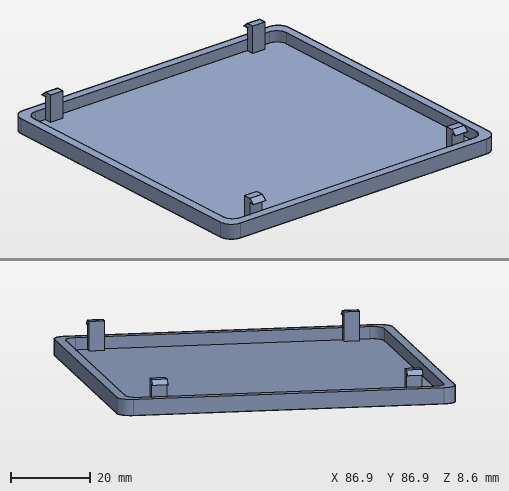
import cadquery as cq

side = 86.9
rim_height = 4.2
wall = 2.5
floor_thickness = 1.0
outer_radius = 3.6
inner_radius = 3.0

total_height = 8.6
clip_width = 4.0
clip_thickness = 2.2
clip_offset_y = 32.8
hook_reach = 1.5
hook_height = 1.2


def rounded_square(size, radius, height, base_z):
    """Square block with rounded vertical corners, centred on the Z axis."""
    block = cq.Workplane("XY").workplane(offset=base_z).rect(size, size).extrude(height)
    return block.edges("|Z").fillet(radius)


def make_tray():
    """Open tray with a flat floor and an upright rim."""
    body = rounded_square(side, outer_radius, rim_height, 0)
    cavity = rounded_square(
        side - 2 * wall, inner_radius, rim_height - floor_thickness, floor_thickness
    )
    return body.cut(cavity)


def make_clip(direction, center_y):
    """Post rising from the floor with a sharp hook pointing outward over the rim."""
    outer_face = side / 2 - wall
    inner_face = outer_face - clip_thickness
    hook_tip = outer_face + hook_reach
    hook_bottom = total_height - hook_height
    profile = [
        (direction * inner_face, 0),
        (direction * outer_face, 0),
        (direction * outer_face, hook_bottom),
        (direction * hook_tip, hook_bottom),
        (direction * outer_face, total_height),
        (direction * inner_face, total_height),
    ]
    return (
        cq.Workplane("XZ", origin=(0, center_y, 0))
        .polyline(profile)
        .close()
        .extrude(clip_width / 2, both=True)
    )


result = make_tray()
for direction in (-1, 1):
    for center_y in (-clip_offset_y, clip_offset_y):
        result = result.union(make_clip(direction, center_y))